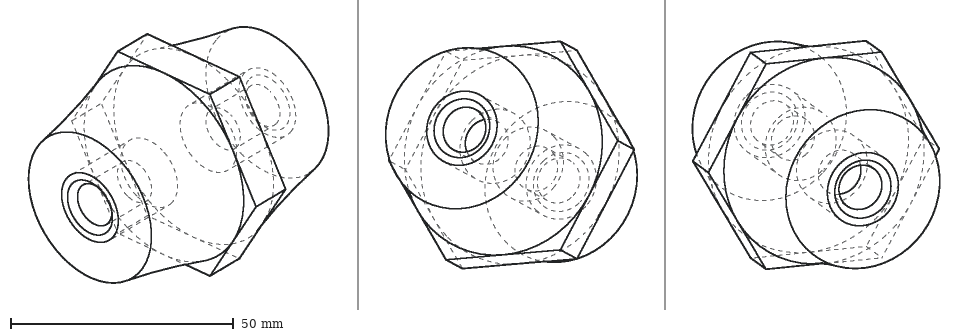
import cadquery as cq
import math

length = 60.0
hex_across_flats = 48.0
hex_thickness = 10.0
hex_sides = 6
end_diameter = 36.95
flank_sag = 0.4

insert_diameter = 17.05
insert_depth = 20.0
bore_diameter = 10.3
bore_mouth_diameter = 13.5
bore_depth = 15.0
mouth_chamfer_angle = 45.0
drill_point_angle = 118.0

half_length = length / 2
half_hex = hex_thickness / 2
root_radius = hex_across_flats / 2
end_radius = end_diameter / 2
insert_radius = insert_diameter / 2
bore_radius = bore_diameter / 2
mouth_radius = bore_mouth_diameter / 2

AXIS_START = (0, 0)
AXIS_END = (0, 1)


def make_hex_collar():
    """Hexagonal wrench collar with flats facing up and down and corners on X."""
    across_corners = hex_across_flats / math.cos(math.pi / hex_sides)
    return cq.Workplane("XZ").polygon(hex_sides, across_corners).extrude(half_hex, both=True)


def make_barrel():
    """Round barrel whose two flanks are slightly concave between collar and end face."""
    chord_run = half_length - half_hex
    chord_drop = root_radius - end_radius
    chord = math.hypot(chord_run, chord_drop)
    mid_radius = (root_radius + end_radius) / 2 - flank_sag * chord_run / chord
    mid_y = (half_length + half_hex) / 2 - flank_sag * chord_drop / chord
    return (
        cq.Workplane("XY")
        .moveTo(0, -half_length)
        .lineTo(-end_radius, -half_length)
        .threePointArc((-mid_radius, -mid_y), (-root_radius, -half_hex))
        .lineTo(-root_radius, half_hex)
        .threePointArc((-mid_radius, mid_y), (-end_radius, half_length))
        .lineTo(0, half_length)
        .close()
        .revolve(360, AXIS_START, AXIS_END)
    )


def make_insert_pocket(end):
    """Cylinder filling the blind pocket at one end (end is -1 or +1 along Y)."""
    return (
        cq.Workplane("XZ", origin=(0, end * half_length, 0))
        .circle(insert_radius)
        .extrude(end * insert_depth)
    )


def make_housing():
    """Insulator body with a blind insert pocket in each end face."""
    housing = make_barrel().union(make_hex_collar())
    for end in (-1, 1):
        housing = housing.cut(make_insert_pocket(end))
    return housing


def make_insert(end):
    """Metal insert with a chamfered blind bore ending in a drill point."""
    chamfer_depth = (mouth_radius - bore_radius) / math.tan(math.radians(mouth_chamfer_angle))
    point_depth = bore_radius / math.tan(math.radians(drill_point_angle / 2))
    face = end * half_length
    back = face - end * insert_depth
    bore_end = face - end * bore_depth
    return (
        cq.Workplane("XY")
        .moveTo(mouth_radius, face)
        .lineTo(insert_radius, face)
        .lineTo(insert_radius, back)
        .lineTo(0, back)
        .lineTo(0, bore_end - end * point_depth)
        .lineTo(bore_radius, bore_end)
        .lineTo(bore_radius, face - end * chamfer_depth)
        .close()
        .revolve(360, AXIS_START, AXIS_END)
    )


housing = make_housing()
inserts = [make_insert(end) for end in (-1, 1)]

result = cq.Compound.makeCompound([housing.val(), *[insert.val() for insert in inserts]])